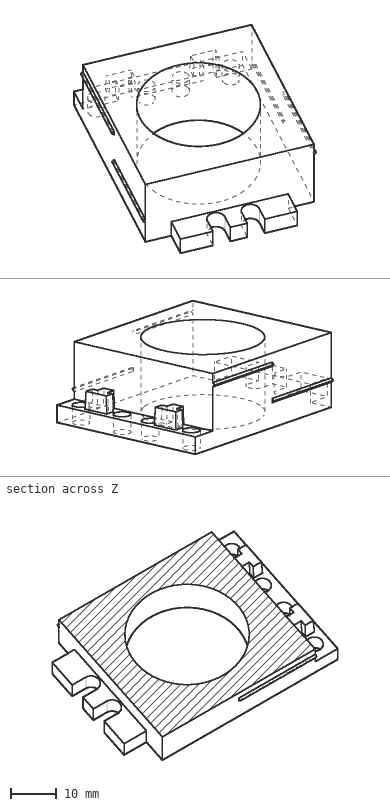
import cadquery as cq

length = 53.0
flange_length = 6.0
block_width = 39.0
height = 17.0
left_flange_height = 4.0
right_flange_height = 4.2
bore_diameter = 27.05
middle_x = length / 2
block_length = length - 2 * flange_length
block_end_x = length - flange_length

hole_diameter = 3.8
hole_x = 3.45
inner_hole_y = 4.0
outer_hole_y = 15.55
tab_y = 9.75
tab_top = 8.0
tab_front_x = 1.5
tab_head_back_x = 3.85
tab_head_width = 6.1
tab_stem_width = 3.2
tab_draft = 0.185

right_flange_width = bore_diameter
slot_width = 4.05
slot_end_x = 47.4
slot_y = inner_hole_y

ridge_depth = 0.505
ridge_height = 0.95
upper_ridge_z = 14.45
lower_ridge_z = 6.2


def box(x_start, x_end, width, box_height):
    """Box standing on Z = 0, centred on Y = 0."""
    return (
        cq.Workplane("XY")
        .box(x_end - x_start, width, box_height, centered=(False, True, False))
        .translate((x_start, 0, 0))
    )


def drafted_block(x_start, x_end, width, front_draft):
    """Tab portion whose sides, and optionally its front, lean inward."""
    tab_height = tab_top - left_flange_height
    top_length = x_end - x_start - front_draft
    return (
        cq.Workplane("XY", origin=((x_start + x_end) / 2, 0, left_flange_height))
        .rect(x_end - x_start, width)
        .workplane(offset=tab_height)
        .center(front_draft / 2, 0)
        .rect(top_length, width - 2 * tab_draft)
        .loft(ruled=True)
    )


def t_tab():
    head = drafted_block(tab_front_x, tab_head_back_x, tab_head_width, tab_draft)
    stem_start_x = (tab_front_x + tab_head_back_x) / 2
    stem = drafted_block(stem_start_x, flange_length, tab_stem_width, 0)
    return head.union(stem)


def open_slot(y):
    radius = slot_width / 2
    centre_x = slot_end_x + radius
    return (
        cq.Workplane("XY")
        .moveTo(length, y - radius)
        .lineTo(centre_x, y - radius)
        .threePointArc((slot_end_x, y), (centre_x, y + radius))
        .lineTo(length, y + radius)
        .close()
        .extrude(right_flange_height)
    )


def ridge(x_start, z, side):
    """Half-length ridge on the +Y (side = 1) or -Y (side = -1) face."""
    face_y = side * block_width / 2
    return (
        cq.Workplane("YZ", origin=(x_start, 0, 0))
        .moveTo(face_y, z - ridge_height / 2)
        .lineTo(face_y + side * ridge_depth, z)
        .lineTo(face_y, z + ridge_height / 2)
        .close()
        .extrude(block_length / 2)
    )


result = box(flange_length, block_end_x, block_width, height)
result = result.union(box(0, flange_length, block_width, left_flange_height))
result = result.union(box(block_end_x, length, right_flange_width, right_flange_height))

for side in (-1, 1):
    result = result.union(t_tab().translate((0, side * tab_y, 0)))
    result = result.cut(open_slot(side * slot_y))

result = result.union(ridge(flange_length, upper_ridge_z, -1))
result = result.union(ridge(middle_x, lower_ridge_z, -1))
result = result.union(ridge(flange_length, lower_ridge_z, 1))
result = result.union(ridge(middle_x, upper_ridge_z, 1))

bore = cq.Workplane("XY").center(middle_x, 0).circle(bore_diameter / 2).extrude(height)
hole_centres = [(hole_x, y) for y in (-outer_hole_y, -inner_hole_y, inner_hole_y, outer_hole_y)]
flange_holes = (
    cq.Workplane("XY")
    .pushPoints(hole_centres)
    .circle(hole_diameter / 2)
    .extrude(left_flange_height)
)
result = result.cut(bore).cut(flange_holes)